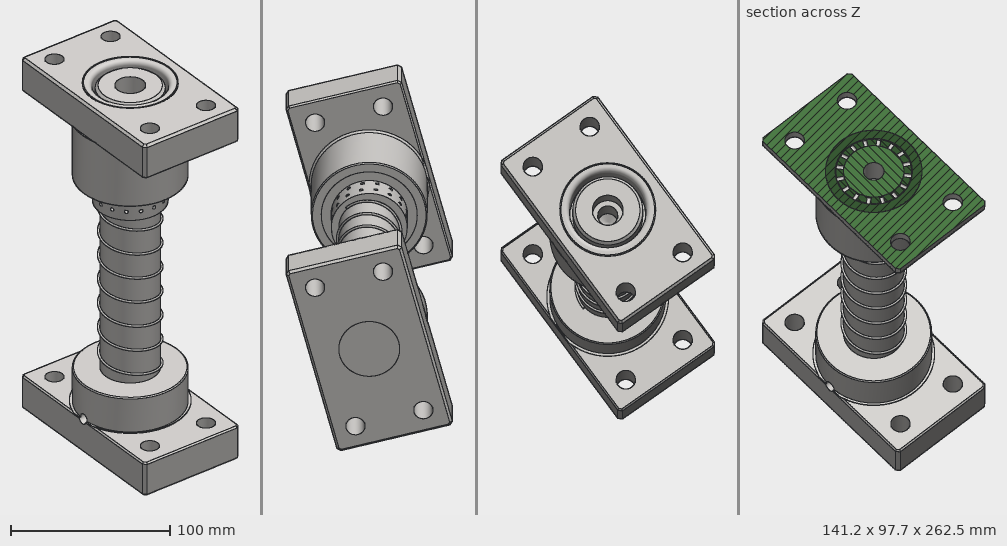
import cadquery as cq
import math

TOTAL_HEIGHT = 262.5
TURN_ANGLE = 11.0

PLATE_LENGTH = 130.0
PLATE_WIDTH = 75.0
PLATE_THICKNESS = 25.0
CORNER_CHAMFER = 2.0
OUTER_EDGE_CHAMFER = 1.5
INNER_EDGE_CHAMFER = 1.0
BOLT_RADIUS = 6.0
BOLT_SPACING_LONG = 100.0
BOLT_SPACING_SHORT = 44.0

BOSS_RADIUS = 36.5
BOSS_EDGE_CHAMFER = 0.8
FOOT_WIDTH = 1.3
GROOVE_WIDTH = 1.8
GROOVE_DEPTH = 0.5
UPPER_BOSS_HEIGHT = 45.0
LOWER_BOSS_HEIGHT = 25.0

SIDE_HOLE_RADIUS = 3.5

BUSHING_RADIUS = 30.2
BUSHING_BORE_RADIUS = 24.1
BUSHING_MOUTH_FILLET = 3.1
BUSHING_EDGE_CHAMFER = 0.8

POST_RADIUS = 19.2
POST_HOLE_RADIUS = 6.3
POST_HOLE_DEPTH = 21.0
DRILL_TIP_ANGLE = 118.0

CAP_RADIUS = 22.0
CAP_CHAMFER = 1.8
CAP_THICKNESS = 15.0
CAP_HOLE_RADIUS = 9.7
CAP_RECESS = 2.0

CAGE_RADIUS = 24.0
CAGE_PROTRUSION = 18.0
CAGE_HOLE_RADIUS = 1.18
CAGE_HOLES_PER_ROW = 16
CAGE_ROW_PITCH = 9.0
CAGE_FIRST_ROW = 6.3
CAGE_HOLE_START = 13.3
CAGE_ROW_TWIST = 2.2

WIRE_RADIUS = 0.73
SPRING_RADIUS = 20.0
SPRING_PITCH = 17.98
SPRING_START_ANGLE = 107.0

UPPER_PLATE_BOTTOM = TOTAL_HEIGHT - PLATE_THICKNESS
UPPER_BOSS_BOTTOM = UPPER_PLATE_BOTTOM - UPPER_BOSS_HEIGHT
LOWER_BOSS_TOP = PLATE_THICKNESS + LOWER_BOSS_HEIGHT
CAP_TOP = TOTAL_HEIGHT - CAP_RECESS
POST_TOP = CAP_TOP - CAP_THICKNESS
CAGE_BOTTOM = UPPER_BOSS_BOTTOM - CAGE_PROTRUSION
CAGE_LENGTH = POST_TOP - CAGE_BOTTOM


def make_block(boss_height, bore_radius):
    """Plate resting on Z = 0 with a round boss on top and a bore through both."""
    plate = (
        cq.Workplane("XY")
        .box(PLATE_LENGTH, PLATE_WIDTH, PLATE_THICKNESS, centered=(True, True, False))
        .edges("|Z").chamfer(CORNER_CHAMFER)
        .faces("<Z").edges().chamfer(OUTER_EDGE_CHAMFER)
        .faces(">Z").edges().chamfer(INNER_EDGE_CHAMFER)
    )
    boss = (
        cq.Workplane("XY")
        .workplane(offset=PLATE_THICKNESS / 2)
        .circle(BOSS_RADIUS)
        .extrude(PLATE_THICKNESS / 2 + boss_height)
        .faces(">Z").edges().chamfer(BOSS_EDGE_CHAMFER)
    )
    bolt_holes = (
        cq.Workplane("XY")
        .rect(BOLT_SPACING_LONG, BOLT_SPACING_SHORT, forConstruction=True)
        .vertices()
        .circle(BOLT_RADIUS)
        .extrude(PLATE_THICKNESS)
    )
    bore = cq.Workplane("XY").circle(bore_radius).extrude(PLATE_THICKNESS + boss_height)
    return plate.union(boss).cut(bolt_holes).cut(bore)


def turn(body):
    return body.rotate((0, 0, 0), (0, 0, 1), TURN_ANGLE)


def make_upper_block():
    """Block turned upside down, so that its boss hangs below the plate."""
    block = make_block(UPPER_BOSS_HEIGHT, BUSHING_RADIUS)
    foot = cq.Workplane(
        cq.Solid.makeCone(
            BOSS_RADIUS + FOOT_WIDTH, BOSS_RADIUS, FOOT_WIDTH, cq.Vector(0, 0, PLATE_THICKNESS)
        )
    )
    foot = foot.cut(cq.Workplane("XY").circle(BUSHING_RADIUS).extrude(2 * PLATE_THICKNESS))
    flipped = block.union(foot).rotate((0, 0, 0), (1, 0, 0), 180).translate((0, 0, TOTAL_HEIGHT))
    return turn(flipped)


def make_lower_block():
    block = make_block(LOWER_BOSS_HEIGHT, POST_RADIUS)
    groove = (
        cq.Workplane("XY")
        .workplane(offset=PLATE_THICKNESS - GROOVE_DEPTH)
        .circle(BOSS_RADIUS + GROOVE_WIDTH)
        .circle(BOSS_RADIUS)
        .extrude(GROOVE_DEPTH)
    )
    side_hole = (
        cq.Workplane("XZ", origin=(0, -PLATE_WIDTH / 2, PLATE_THICKNESS))
        .circle(SIDE_HOLE_RADIUS)
        .extrude(-PLATE_WIDTH / 2)
    )
    return turn(block.cut(groove).cut(side_hole))


def make_bushing():
    return (
        cq.Workplane("XY")
        .workplane(offset=UPPER_BOSS_BOTTOM)
        .circle(BUSHING_RADIUS)
        .extrude(TOTAL_HEIGHT - UPPER_BOSS_BOTTOM)
        .faces(">Z").edges().chamfer(BUSHING_EDGE_CHAMFER)
        .faces(">Z").workplane()
        .circle(BUSHING_BORE_RADIUS)
        .cutThruAll()
        .faces(">Z").edges("%CIRCLE").edges(cq.selectors.RadiusNthSelector(0))
        .fillet(BUSHING_MOUTH_FILLET)
    )


def make_post():
    """Cylinder with a blind drilled hole in its top, ending in a drill tip."""
    tip_height = POST_HOLE_RADIUS / math.tan(math.radians(DRILL_TIP_ANGLE / 2))
    hole_floor = POST_TOP - POST_HOLE_DEPTH
    return (
        cq.Workplane("XZ")
        .moveTo(0, 0)
        .lineTo(POST_RADIUS, 0)
        .lineTo(POST_RADIUS, POST_TOP)
        .lineTo(POST_HOLE_RADIUS, POST_TOP)
        .lineTo(POST_HOLE_RADIUS, hole_floor)
        .lineTo(0, hole_floor - tip_height)
        .close()
        .revolve(360, (0, 0), (0, 1))
    )


def make_cap():
    return (
        cq.Workplane("XY")
        .workplane(offset=POST_TOP)
        .circle(CAP_RADIUS)
        .extrude(CAP_THICKNESS)
        .faces(">Z").edges().chamfer(CAP_CHAMFER)
        .faces(">Z").workplane()
        .circle(CAP_HOLE_RADIUS)
        .cutThruAll()
    )


def make_cage():
    """Sleeve with rows of small radial holes all around."""
    cage = (
        cq.Workplane("XY")
        .workplane(offset=CAGE_BOTTOM)
        .circle(CAGE_RADIUS)
        .circle(POST_RADIUS)
        .extrude(CAGE_LENGTH)
    )
    row_count = int((CAGE_LENGTH - CAGE_FIRST_ROW) // CAGE_ROW_PITCH) + 1
    holes = []
    for row in range(row_count):
        height = CAGE_BOTTOM + CAGE_FIRST_ROW + row * CAGE_ROW_PITCH
        row_start = CAGE_HOLE_START + row * CAGE_ROW_TWIST
        for index in range(CAGE_HOLES_PER_ROW):
            angle = math.radians(row_start + index * 360 / CAGE_HOLES_PER_ROW)
            outward = cq.Vector(math.cos(angle), math.sin(angle), 0)
            holes.append(
                cq.Solid.makeCylinder(
                    CAGE_HOLE_RADIUS, CAGE_RADIUS, cq.Vector(0, 0, height), outward
                )
            )
    return cage.cut(cq.Workplane(cq.Compound.makeCompound(holes)))


def make_spring():
    """Left-handed coil between the lower boss and the cage."""
    height = CAGE_BOTTOM - LOWER_BOSS_TOP - 2 * WIRE_RADIUS
    path = cq.Wire.makeHelix(SPRING_PITCH, height, SPRING_RADIUS, lefthand=True)
    coil = (
        cq.Workplane("XZ", origin=(SPRING_RADIUS, 0, 0))
        .circle(WIRE_RADIUS)
        .sweep(cq.Workplane(path), isFrenet=True)
    )
    return coil.rotate((0, 0, 0), (0, 0, 1), SPRING_START_ANGLE).translate(
        (0, 0, LOWER_BOSS_TOP + WIRE_RADIUS)
    )


upper_block = make_upper_block()
lower_block = make_lower_block()
bushing = make_bushing()
post = make_post()
cap = make_cap()
cage = make_cage()
spring = make_spring()

result = cq.Compound.makeCompound(
    [
        upper_block.val(),
        lower_block.val(),
        bushing.val(),
        post.val(),
        cap.val(),
        cage.val(),
        spring.val(),
    ]
)